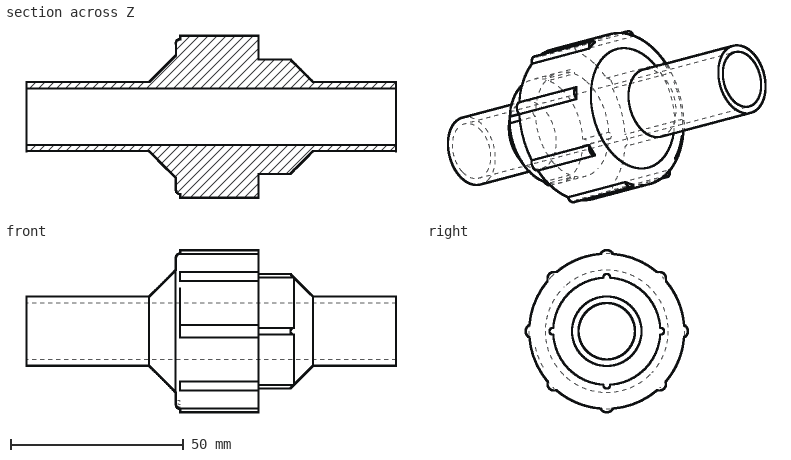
import cadquery as cq

total_length = 107.0
pipe_radius = 10.1
bore_radius = 8.1

nut_start = 43.2
nut_end = 67.2
nut_radius = 22.5
nut_edge_fillet = 1.3
grip_rib_count = 8
grip_rib_radius = 2.0
grip_rib_height = 1.02
grip_rib_center = nut_radius + grip_rib_height - grip_rib_radius

front_cone_start = 35.5
front_cone_radius = pipe_radius + nut_start - front_cone_start

hub_radius = 15.5
hub_rib_count = 4
hub_rib_radius = 1.0
hub_rib_center = 15.6
rear_cone_end = 82.9
hub_end = rear_cone_end - (hub_radius - pipe_radius)


def cylinder(start, end, radius):
    return cq.Workplane("YZ").workplane(offset=start).circle(radius).extrude(end - start)


def revolved(profile):
    """Revolve an outline of (x, radius) points about the X axis."""
    return cq.Workplane("XY").polyline(profile).close().revolve(360, (0, 0, 0), (1, 0, 0))


def ribs(start, end, count, center_radius, rib_radius):
    """Round bars parallel to X, equally spaced about the axis."""
    return (
        cq.Workplane("YZ")
        .workplane(offset=start)
        .polarArray(center_radius, 0, 360, count)
        .circle(rib_radius)
        .extrude(end - start)
    )


def make_nut():
    body = cylinder(nut_start, nut_end, nut_radius).faces("<X").edges().fillet(nut_edge_fillet)
    rib_start = nut_start + nut_edge_fillet
    return body.union(ribs(rib_start, nut_end, grip_rib_count, grip_rib_center, grip_rib_radius))


def make_hub():
    rib_tip = hub_rib_center + hub_rib_radius
    envelope = revolved([
        (nut_end, 0),
        (nut_end, rib_tip),
        (rear_cone_end - (rib_tip - pipe_radius), rib_tip),
        (rear_cone_end, pipe_radius),
        (rear_cone_end, 0),
    ])
    bars = ribs(nut_end, hub_end, hub_rib_count, hub_rib_center, hub_rib_radius)
    body = revolved([
        (nut_end, 0),
        (nut_end, hub_radius),
        (hub_end, hub_radius),
        (rear_cone_end, pipe_radius),
        (rear_cone_end, 0),
    ])
    return body.union(bars.intersect(envelope))


front_cone = revolved([
    (front_cone_start, 0),
    (front_cone_start, pipe_radius),
    (nut_start, front_cone_radius),
    (nut_start, 0),
])
pipe = cylinder(0, total_length, pipe_radius)
bore = cylinder(0, total_length, bore_radius)

result = pipe.union(front_cone).union(make_nut()).union(make_hub()).cut(bore)